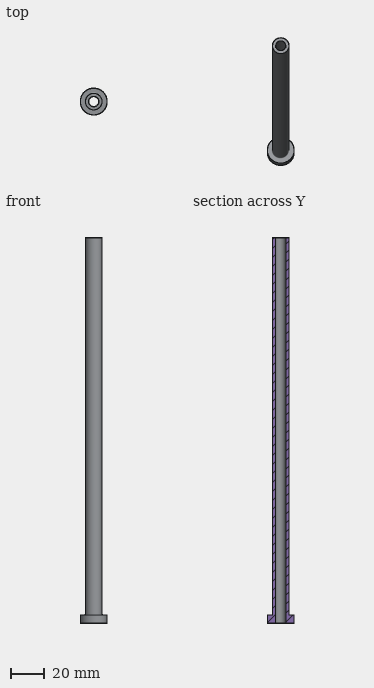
import cadquery as cq

total_length = 230.0
head_diameter = 16.0
head_height = 5.0
tube_diameter = 10.0
bore_diameter = 6.0
neck_fillet = 0.5

head = cq.Workplane("XY").circle(head_diameter / 2).extrude(head_height)
tube = cq.Workplane("XY").circle(tube_diameter / 2).extrude(total_length)
body = head.union(tube)

head_top_face = body.faces(">Z[1]")
body = head_top_face.edges(cq.selectors.RadiusNthSelector(0)).fillet(neck_fillet)

bore = cq.Workplane("XY").circle(bore_diameter / 2).extrude(total_length)

result = body.cut(bore)